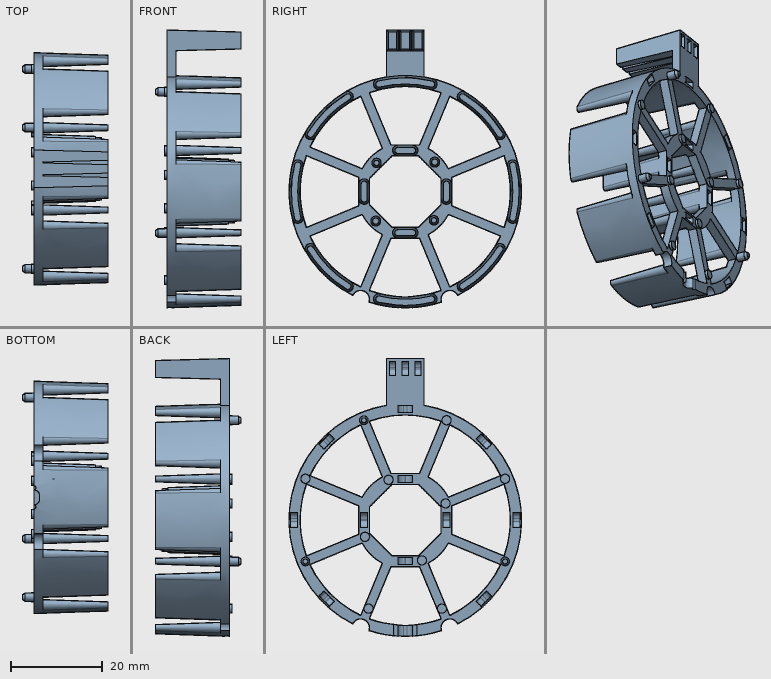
import cadquery as cq
import math

OVERALL_HEIGHT = 60.7
TOTAL_DEPTH = 16.2
PLATE_THICKNESS = 2.0
MOULD_DRAFT = 2.0
ARM_DRAFT = 1.5
SECTORS = 8
SECTOR_ANGLE = 360 / SECTORS
SPOKE_ANGLES = [SECTOR_ANGLE * (i + 0.5) for i in range(SECTORS)]

RIM_OUTER_RADIUS = 25.4
RIM_INNER_RADIUS = 22.95
RIM_MID_RADIUS = (RIM_OUTER_RADIUS + RIM_INNER_RADIUS) / 2
RIM_WALL = RIM_OUTER_RADIUS - RIM_INNER_RADIUS
PETAL_HALF_ANGLE = 13.8
GAP_HALF_ANGLE = SECTOR_ANGLE / 2 - PETAL_HALF_ANGLE
GAP_REACH = 1.5 * RIM_OUTER_RADIUS

HUB_RADIUS = 10.7
HUB_OUTER_FLAT = 10.2
HUB_INNER_FLAT = 7.75
HUB_CORNER_FLAT = 7.5
HUB_WALL = HUB_OUTER_FLAT - HUB_INNER_FLAT
HUB_MID_FLAT = (HUB_OUTER_FLAT + HUB_INNER_FLAT) / 2
HUB_FINGER_WIDTH = 3.3
SHORT_POST_RADIUS = 1.15
SHORT_POST_DEPTH = 13.45
SHORT_POST_ANGLES = [45, 225]
LONG_POST_RADIUS = 1.1
LONG_POST_DEPTH = 14.8
LONG_POST_ANGLES = [135, 315]
SHORT_POST_CENTRE = 9.1
LONG_POST_CENTRE = 8.85
SPOKE_WIDTH = 2.05

PAD_RADIUS = 1.0
PAD_HEIGHT = 0.55
PAD_RIM_RADIUS = 23.6
PAD_HUB_RADIUS = 9.5
PAD_SPOKE_RADIUS = 20.95
PIN_RADIUS = 0.94
PIN_HEIGHT = 2.5
PIN_TIP_RADIUS = 0.55
PIN_TIP_LENGTH = 0.6
PIN_ANGLES = [67.5, 202.5, 337.5]
RIM_PAD_ANGLES = [22.5, 112.5, 157.5]
SPOKE_PAD_ANGLES = [247.5, 292.5]
HUB_PAD_ANGLES = [67.5, 157.5, 247.5, 337.5]

POCKET_LENGTH = 3.2
POCKET_WIDTH = 1.5
POCKET_RIM_RADIUS = 24.25
RIM_POCKET_BEND = 1.3
HUB_POCKET_BEND = 1.5
RELIEF_RADIUS = 0.455
NOTCH_RADIUS = 1.9
NOTCH_ANGLES = SPOKE_PAD_ANGLES

TAB_WIDTH = 8.25
TAB_TOP = OVERALL_HEIGHT - math.sqrt(RIM_OUTER_RADIUS**2 - (POCKET_LENGTH / 2) ** 2)
TAB_BOTTOM = 23.95
ARM_BOTTOM = 30.7
ARM_PITCH = 2.8
ARM_COUNT = 3
SLIT_ROOT_WIDTH = 0.21
TAB_POCKET_LENGTH = 3.05
TAB_POCKET_WIDTH = 1.4
TAB_POCKET_CENTRE = 33.1
TAB_POCKET_BEND = 1.35


def plane(x=0.0):
    """Sketch plane facing +X: local axes are Y and Z."""
    return cq.Workplane("YZ", origin=(x, 0, 0))


def polar(radius, angle):
    """Y and Z of a point at an angle from +Y towards +Z."""
    return (radius * math.cos(math.radians(angle)), radius * math.sin(math.radians(angle)))


def turned(shape, angle):
    """Turn a shape about the wheel axis, from +Y towards +Z."""
    return shape.rotate((0, 0, 0), (1, 0, 0), angle)


def widening_hole(sketch):
    return sketch.extrude(PLATE_THICKNESS, taper=-MOULD_DRAFT)


def rim():
    """Ring whose wall is split behind the plate into petals by a gap at each spoke."""
    shrink = TOTAL_DEPTH * math.tan(math.radians(MOULD_DRAFT))
    ring = (
        cq.Workplane("XY")
        .moveTo(0, RIM_INNER_RADIUS)
        .lineTo(0, RIM_OUTER_RADIUS)
        .lineTo(TOTAL_DEPTH, RIM_OUTER_RADIUS - shrink)
        .lineTo(TOTAL_DEPTH, RIM_INNER_RADIUS + shrink)
        .close()
        .revolve(360, (0, 0, 0), (1, 0, 0))
    )
    gap = (
        plane(PLATE_THICKNESS)
        .polyline([(0, 0), polar(GAP_REACH, -GAP_HALF_ANGLE), polar(GAP_REACH, GAP_HALF_ANGLE)])
        .close()
        .extrude(TOTAL_DEPTH)
    )
    for angle in SPOKE_ANGLES:
        ring = ring.cut(turned(gap, angle))
    return ring


def petal_edge(side):
    """Half-round edge on the wall at +Y, bulging towards +Z (side = 1) or -Z (side = -1)."""
    root = RIM_WALL / 2
    tip = root - TOTAL_DEPTH * math.tan(math.radians(MOULD_DRAFT))
    edge = (
        cq.Workplane("XY")
        .polyline([(0, 0), (0, root), (TOTAL_DEPTH, tip), (TOTAL_DEPTH, 0)])
        .close()
        .revolve(180, (0, 0, 0), (side, 0, 0))
    )
    return edge.translate((0, RIM_MID_RADIUS, 0))


def square(half_width):
    return plane().rect(2 * half_width, 2 * half_width)


def hub():
    disc = plane().circle(HUB_RADIUS).extrude(PLATE_THICKNESS)
    body = disc.intersect(square(HUB_OUTER_FLAT).extrude(PLATE_THICKNESS, taper=MOULD_DRAFT))
    bore = widening_hole(square(HUB_INNER_FLAT))
    bore = bore.intersect(turned(widening_hole(square(HUB_CORNER_FLAT)), SECTOR_ANGLE))
    return body.cut(bore)


def hub_finger():
    """Flat wall with fully rounded edges on the +Y flat of the hub."""
    return (
        plane()
        .center(HUB_MID_FLAT, 0)
        .slot2D(HUB_FINGER_WIDTH + HUB_WALL, HUB_WALL, 90)
        .extrude(TOTAL_DEPTH, taper=MOULD_DRAFT)
    )


def hub_post(centre, radius, depth):
    """Round post standing on the hub, on +Y."""
    return plane().center(centre, 0).circle(radius).extrude(depth, taper=MOULD_DRAFT)


def spoke():
    """Bar from the hub to the middle of the rim, along +Y."""
    start = (HUB_INNER_FLAT + HUB_RADIUS) / 2
    length = RIM_MID_RADIUS - start
    return plane().center(start + length / 2, 0).rect(length, SPOKE_WIDTH).extrude(PLATE_THICKNESS)


def pads(radius, angles):
    centres = [polar(radius, angle) for angle in angles]
    return plane().pushPoints(centres).circle(PAD_RADIUS).extrude(-PAD_HEIGHT)


def pin():
    """Locating pin with a coned tip at the rim, on +Y."""
    return (
        cq.Workplane("XY")
        .moveTo(0, 0)
        .lineTo(0, PIN_RADIUS)
        .lineTo(PIN_TIP_LENGTH - PIN_HEIGHT, PIN_RADIUS)
        .lineTo(-PIN_HEIGHT, PIN_TIP_RADIUS)
        .lineTo(-PIN_HEIGHT, 0)
        .close()
        .revolve(360, (0, 0, 0), (1, 0, 0))
        .translate((0, PAD_RIM_RADIUS, 0))
    )


def pocket(length, width, bend):
    """Trough sunk in the front face at the axis: long in Z, its floor bent up at both ends."""
    half = length / 2
    corner = bend * (1 - math.sqrt(0.5))
    outline = (
        cq.Workplane("XZ", origin=(0, width / 2, 0))
        .moveTo(0, -half)
        .threePointArc((bend - corner, corner - half), (bend, bend - half))
    )
    if length > 2 * bend:
        outline = outline.lineTo(bend, half - bend)
    return outline.threePointArc((bend - corner, half - corner), (0, half)).close().extrude(width)


def rim_pocket(width=POCKET_WIDTH):
    return pocket(POCKET_LENGTH, width, RIM_POCKET_BEND).translate((0, POCKET_RIM_RADIUS, 0))


def open_rim_pocket():
    """Pocket across the whole rim with a half-round groove along each side."""
    through = 2 * RIM_WALL
    cutter = rim_pocket(through)
    for side in (-1, 1):
        groove = pocket(2 * RELIEF_RADIUS, through, RELIEF_RADIUS)
        cutter = cutter.union(
            groove.translate((0, POCKET_RIM_RADIUS, side * (POCKET_LENGTH / 2 + RELIEF_RADIUS)))
        )
    return cutter


def tab():
    """Upright tab on the rim carrying drafted arms that point along +X."""
    def block(bottom, depth):
        height = TAB_TOP - bottom
        sketch = plane().center(0, bottom + height / 2).rect(TAB_WIDTH, height)
        return sketch.extrude(depth, taper=ARM_DRAFT)

    body = block(TAB_BOTTOM, PLATE_THICKNESS).union(block(ARM_BOTTOM, TOTAL_DEPTH))
    root = SLIT_ROOT_WIDTH / 2
    tip = root + (TOTAL_DEPTH - PLATE_THICKNESS) * math.tan(math.radians(ARM_DRAFT))
    slit = (
        cq.Workplane("XY", origin=(0, 0, ARM_BOTTOM))
        .polyline([(PLATE_THICKNESS, -root), (TOTAL_DEPTH, -tip), (TOTAL_DEPTH, tip), (PLATE_THICKNESS, root)])
        .close()
        .extrude(TAB_TOP - ARM_BOTTOM)
    )
    for i in range(ARM_COUNT - 1):
        body = body.cut(slit.translate((0, (i - (ARM_COUNT - 2) / 2) * ARM_PITCH, 0)))
    tab_pocket = pocket(TAB_POCKET_LENGTH, TAB_POCKET_WIDTH, TAB_POCKET_BEND)
    for i in range(ARM_COUNT):
        body = body.cut(tab_pocket.translate((0, (i - (ARM_COUNT - 1) / 2) * ARM_PITCH, TAB_POCKET_CENTRE)))
    return body


body = rim().union(hub()).union(tab())
for i in range(SECTORS):
    for side in (-1, 1):
        body = body.union(turned(petal_edge(side), i * SECTOR_ANGLE + side * PETAL_HALF_ANGLE))
for angle in SPOKE_ANGLES:
    body = body.union(turned(spoke(), angle))
for i in range(4):
    body = body.union(turned(hub_finger(), i * 90))
for angle in SHORT_POST_ANGLES:
    body = body.union(turned(hub_post(SHORT_POST_CENTRE, SHORT_POST_RADIUS, SHORT_POST_DEPTH), angle))
for angle in LONG_POST_ANGLES:
    body = body.union(turned(hub_post(LONG_POST_CENTRE, LONG_POST_RADIUS, LONG_POST_DEPTH), angle))

body = body.union(pads(PAD_RIM_RADIUS, RIM_PAD_ANGLES))
body = body.union(pads(PAD_SPOKE_RADIUS, SPOKE_PAD_ANGLES))
body = body.union(pads(PAD_HUB_RADIUS, HUB_PAD_ANGLES))
for angle in PIN_ANGLES:
    body = body.union(turned(pin(), angle))

for i in range(SECTORS):
    angle = i * SECTOR_ANGLE
    cutter = open_rim_pocket() if angle == 270 else rim_pocket()
    body = body.cut(turned(cutter, angle))
hub_pocket = pocket(POCKET_LENGTH, POCKET_WIDTH, HUB_POCKET_BEND).translate((0, HUB_MID_FLAT, 0))
for i in range(4):
    body = body.cut(turned(hub_pocket, i * 90))
notch_centres = [polar(RIM_OUTER_RADIUS, angle) for angle in NOTCH_ANGLES]
body = body.cut(plane().pushPoints(notch_centres).circle(NOTCH_RADIUS).extrude(PLATE_THICKNESS))

result = body